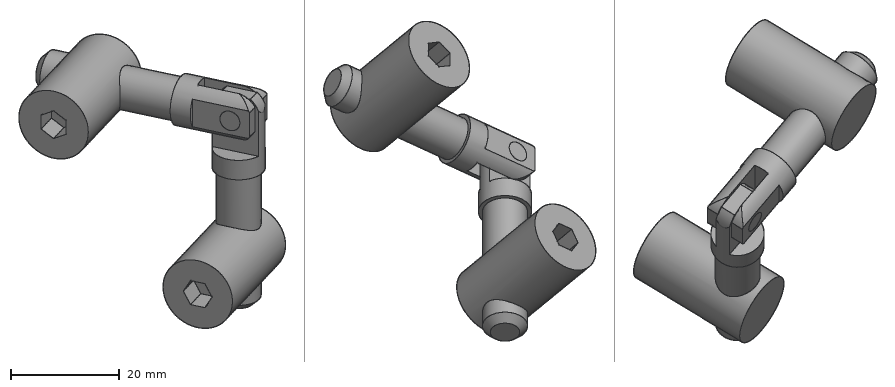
import cadquery as cq


rod_diameter = 8.3
collar_diameter = 9.8
hinge_to_rod_tip = 39.6
rod_tip_chamfer = 1.45
hinge_to_collar_back = 11.6
hinge_to_collar_front = 7.55
hinge_end_length = 3.95
fork_end_radius = 4.7
tongue_end_radius = 5.0
tongue_thickness = 3.05
fork_width = 7.9

cylinder_diameter = 14.0
cylinder_length = 24.0
cylinder_back = 5.5
hinge_to_cylinder = 29.0
hex_across_corners = 5.8
hex_depth = 4.65

pin_diameter = 4.0

cylinder_front = cylinder_back - cylinder_length


def cylinder_along_x(diameter, x_start, x_end):
    return cq.Workplane("YZ", origin=(x_start, 0, 0)).circle(diameter / 2).extrude(x_end - x_start)


def cylinder_along_y(diameter, x_center, y_front, y_back):
    plane = cq.Workplane("XZ", origin=(x_center, y_back, 0))
    return plane.circle(diameter / 2).extrude(y_back - y_front)


def hinge_slab(thickness, end_radius):
    """Slab centred on Y = 0, from the collar to the flat end, with the end rounded about the hinge."""
    length = hinge_to_collar_front + hinge_end_length
    slab = cq.Workplane("XY").box(length, thickness, collar_diameter)
    slab = slab.translate(((hinge_end_length - hinge_to_collar_front) / 2, 0, 0))
    straight = cq.Workplane("XY").box(hinge_to_collar_front, thickness, collar_diameter)
    straight = straight.translate((-hinge_to_collar_front / 2, 0, 0))
    rounded = cylinder_along_y(2 * end_radius, 0, -thickness / 2, thickness / 2)
    return slab.intersect(straight.union(rounded))


def fork_end():
    slot = cq.Workplane("XY").box(2 * hinge_to_collar_front, tongue_thickness, collar_diameter)
    return hinge_slab(fork_width, fork_end_radius).cut(slot)


def tongue_end():
    return hinge_slab(tongue_thickness, tongue_end_radius)


def make_arm(hinge_end):
    """Rod, collar and cross cylinder in one piece, with the given hinge end."""
    rod = cylinder_along_x(rod_diameter, -hinge_to_rod_tip, -hinge_to_collar_back)
    rod = rod.faces("<X").chamfer(rod_tip_chamfer)
    collar = cylinder_along_x(collar_diameter, -hinge_to_collar_back, -hinge_to_collar_front)
    cross = cylinder_along_y(cylinder_diameter, -hinge_to_cylinder, cylinder_front, cylinder_back)
    round_stock = cylinder_along_x(collar_diameter, -hinge_to_collar_front, hinge_end_length)
    arm = rod.union(collar).union(cross).union(round_stock.intersect(hinge_end))

    socket = (
        cq.Workplane("XZ", origin=(-hinge_to_cylinder, cylinder_front, 0))
        .transformed(rotate=(0, 0, 90))
        .polygon(6, hex_across_corners)
        .extrude(-hex_depth)
    )
    return arm.cut(socket)


def make_pin():
    return cylinder_along_y(pin_diameter, 0, -fork_width / 2, fork_width / 2)


pin = make_pin()
fork_arm = make_arm(fork_end()).cut(pin)
tongue_arm = make_arm(tongue_end()).cut(pin)
tongue_arm = tongue_arm.rotate((0, 0, 0), (0, 1, 0), -90)

result = cq.Compound.makeCompound([fork_arm.val(), tongue_arm.val(), pin.val()])